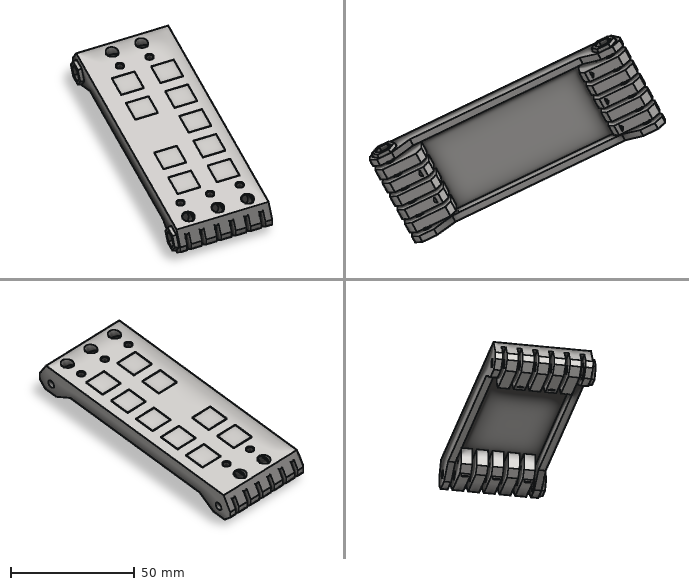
import cadquery as cq
import math

LENGTH = 114.0
WIDTH = 40.4
HEIGHT = 13.0
CENTRE_X = LENGTH / 2
ROOF = 2.7
ROOF_UNDERSIDE = HEIGHT - ROOF
WALL_BOTTOM = 4.9

END_SLOPE_RUN = 3.9
END_SLOPE_STEEPNESS = math.tan(math.radians(60))
END_SLOPE_DROP = END_SLOPE_RUN * END_SLOPE_STEEPNESS
END_CHAMFER = 3.3
GUSSET_START = 10.0
GUSSET_END = 18.4
FOOT_BOTTOM_END = 18.6
FOOT_END = 21.1
FOOT_BEVEL_HEIGHT = 3.1

SLOT_COUNT = 6
SLOT_WIDTH = 1.8
SLOT_PITCH = 6.5
SLOT_FLARE = 0.1
SLOT_FLARE_TOP = 7.4
SIDE_WALL = (WIDTH - (SLOT_COUNT - 1) * SLOT_PITCH - SLOT_WIDTH) / 2

BOLT_X = 7.0
BOLT_Z = WALL_BOTTOM
BOLT_DIAMETER = 3.4
BOSS_LENGTH = 1.6
BOSS_FLATS = 9.5
BOSS_DRAFT = 12
SOCKET_FLATS = 6.0
SOCKET_DRAFT = 1
SOCKET_DEPTH = 5.2

LEFT_HOLE_TEETH = (1, 3)
RIGHT_HOLE_TEETH = (0, 2, 4)
SMALL_HOLE_DIAMETER = 2.8
SMALL_HOLE_MOUTH_DIAMETER = 3.5
SMALL_HOLE_X = 17.1
SMALL_HOLE_LEDGE_X = 16.6
LARGE_HOLE_X = 8.8
MOUTH_DIAMETER = 5.1
MOUTH_LEAN = 25
MOUTH_LENGTH = 2.0
TUNNEL_DIAMETER = 4.5
TUNNEL_LEAN = 50
TUNNEL_LENGTH = 5.7

RECESS_SIDE = 9.9
RECESS_DEPTH = 0.3
RECESS_PITCH = 14.9
RECESS_COLUMNS = (-2, -1, 0, 1, 2)
BACK_ROW_Y = 30.2
FRONT_ROW_Y = 13.0


def mirrored(left_half):
    """Return a left-end solid together with its copy at the right end."""
    return left_half.union(left_half.mirror("YZ", (CENTRE_X, 0, 0)))


def prism(points, y_start, y_end):
    """Extrude an outline of (x, z) points along Y."""
    outline = cq.Workplane("XZ", origin=(0, y_start, 0)).polyline(points).close()
    return outline.extrude(y_start - y_end)


def cylinder(x, y, z_bottom, z_top, diameter):
    base = cq.Workplane("XY", origin=(x, y, z_bottom))
    return base.circle(diameter / 2).extrude(z_top - z_bottom)


def hexagon(flats):
    """Diameter across the corners of a hexagon of the given width across flats."""
    return flats / math.cos(math.radians(30))


def tooth_y(tooth):
    """Y of the middle of an inner tooth, counted from 0 at the front."""
    return WIDTH / 2 + (tooth - (SLOT_COUNT - 2) / 2) * SLOT_PITCH


END_OUTLINE = [
    (END_SLOPE_RUN, HEIGHT),
    (0, HEIGHT - END_SLOPE_DROP),
    (0, END_CHAMFER),
    (END_CHAMFER, 0),
]


def roof():
    slope_run = ROOF / END_SLOPE_STEEPNESS
    points = [
        (END_SLOPE_RUN, HEIGHT),
        (END_SLOPE_RUN - slope_run, ROOF_UNDERSIDE),
        (CENTRE_X, ROOF_UNDERSIDE),
        (CENTRE_X, HEIGHT),
    ]
    return prism(points, 0, WIDTH)


def side_wall(y_start):
    points = END_OUTLINE + [
        (GUSSET_START, 0),
        (GUSSET_END, WALL_BOTTOM),
        (CENTRE_X, WALL_BOTTOM),
        (CENTRE_X, HEIGHT),
    ]
    return prism(points, y_start, y_start + SIDE_WALL)


def end_block():
    points = END_OUTLINE + [
        (FOOT_BOTTOM_END, 0),
        (FOOT_END, FOOT_BEVEL_HEIGHT),
        (FOOT_END, HEIGHT),
    ]
    return prism(points, SIDE_WALL, WIDTH - SIDE_WALL)


def slots():
    """Slots up to the roof, their back faces leaning outward below the flare line."""
    cuts = cq.Workplane("YZ")
    for index in range(SLOT_COUNT):
        front = SIDE_WALL + index * SLOT_PITCH
        back = front + SLOT_WIDTH
        cuts = cuts.polyline(
            [
                (front, 0),
                (front, ROOF_UNDERSIDE),
                (back, ROOF_UNDERSIDE),
                (back, SLOT_FLARE_TOP),
                (back + SLOT_FLARE, 0),
            ]
        ).close()
    return cuts.extrude(FOOT_END)


def bolt_boss():
    face = cq.Workplane("XZ", origin=(BOLT_X, 0, BOLT_Z))
    return face.polygon(6, hexagon(BOSS_FLATS)).extrude(BOSS_LENGTH, taper=BOSS_DRAFT)


def bolt_cut():
    face = cq.Workplane("XZ", origin=(BOLT_X, -BOSS_LENGTH, BOLT_Z))
    bore = face.circle(BOLT_DIAMETER / 2).extrude(-BOSS_LENGTH - WIDTH)
    socket = face.polygon(6, hexagon(SOCKET_FLATS)).extrude(-SOCKET_DEPTH, taper=SOCKET_DRAFT)
    return bore.union(socket)


def lean_direction(lean):
    """Downward direction that leans from the vertical towards the middle of the part."""
    angle = math.radians(lean)
    return cq.Vector(math.sin(angle), 0, -math.cos(angle))


def large_hole(y):
    """Blind hole that leans inward from the top face and bends to a flatter, narrower tunnel."""
    mouth_direction = lean_direction(MOUTH_LEAN)
    rim = cq.Vector(LARGE_HOLE_X, y, HEIGHT)
    bend = rim + mouth_direction * MOUTH_LENGTH
    start = rim - mouth_direction * MOUTH_DIAMETER
    mouth = cq.Solid.makeCylinder(
        MOUTH_DIAMETER / 2, MOUTH_LENGTH + MOUTH_DIAMETER, start, mouth_direction
    )
    tunnel = cq.Solid.makeCylinder(
        TUNNEL_DIAMETER / 2, TUNNEL_LENGTH, bend, lean_direction(TUNNEL_LEAN)
    )
    elbow = cq.Workplane("XY").sphere(TUNNEL_DIAMETER / 2).translate(bend)
    return cq.Workplane(mouth).union(elbow).union(cq.Workplane(tunnel))


def small_hole(y):
    """Countersunk hole, open below on its outer side and stopping at a ledge on its inner side."""
    upper = cylinder(SMALL_HOLE_X, y, WALL_BOTTOM, HEIGHT, SMALL_HOLE_DIAMETER)
    lower = cylinder(SMALL_HOLE_X, y, 0, HEIGHT, SMALL_HOLE_DIAMETER)
    open_side = cq.Workplane("XY").box(SMALL_HOLE_LEDGE_X, WIDTH, HEIGHT, centered=False)
    mouth_radius = SMALL_HOLE_MOUTH_DIAMETER / 2
    bore_radius = SMALL_HOLE_DIAMETER / 2
    mouth_centre = cq.Vector(SMALL_HOLE_X, y, HEIGHT)
    down = cq.Vector(0, 0, -1)
    countersink = cq.Solid.makeCone(
        mouth_radius, bore_radius, mouth_radius - bore_radius, mouth_centre, down
    )
    return upper.union(lower.intersect(open_side)).union(cq.Workplane(countersink))


def cord_holes(y):
    return large_hole(y).union(small_hole(y))


def recesses():
    points = [(CENTRE_X + column * RECESS_PITCH, BACK_ROW_Y) for column in RECESS_COLUMNS]
    points += [(CENTRE_X + column * RECESS_PITCH, FRONT_ROW_Y) for column in RECESS_COLUMNS if column]
    top = cq.Workplane("XY", origin=(0, 0, HEIGHT)).pushPoints(points)
    return top.rect(RECESS_SIDE, RECESS_SIDE).extrude(-RECESS_DEPTH)


left_half = roof().union(side_wall(0)).union(side_wall(WIDTH - SIDE_WALL)).union(end_block())
left_half = left_half.cut(slots()).union(bolt_boss()).cut(bolt_cut())
result = mirrored(left_half).cut(recesses())

for tooth in LEFT_HOLE_TEETH:
    result = result.cut(cord_holes(tooth_y(tooth)))
for tooth in RIGHT_HOLE_TEETH:
    result = result.cut(cord_holes(tooth_y(tooth)).mirror("YZ", (CENTRE_X, 0, 0)))